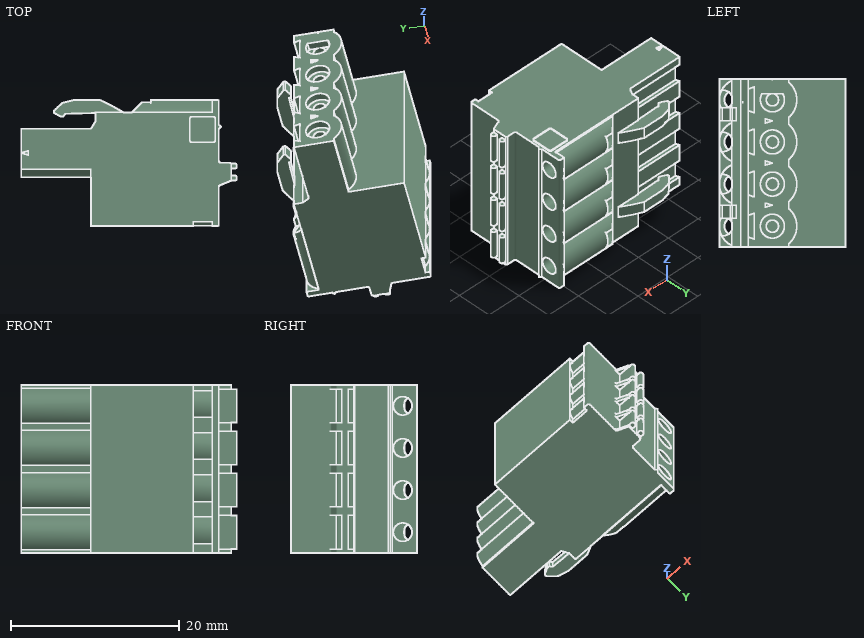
import cadquery as cq

POLE_COUNT = 4
PITCH = 5.0
HEIGHT = POLE_COUNT * PITCH
POLE_CENTERS = [PITCH * (i + 0.5) for i in range(POLE_COUNT)]

DEPTH = 15.0
BODY_FRONT = 8.28
BODY_BACK = 23.48
BODY_TOP = 13.5
SHOULDER_X = 8.8
SHOULDER_Y = 12.45
NECK_TOP = 11.58
NECK_FLAT = 6.75
FLANGE_FRONT = 22.69
FLANGE_RADIUS = 0.2

NECK_LOBE_TIP = 5.8
NECK_LOBE_HALF = 2.08
ENTRY_Y = 8.7
ENTRY_RADIUS = 1.43
ENTRY_DEPTH = 1.0
CORE_RADIUS = 0.73
TOP_ENTRY_LIMIT = 0.72
DOVETAIL_FLOOR = 10.86
DOVETAIL_FLOOR_HALF = 1.53
DOVETAIL_MOUTH_HALF = 1.28

LOBE_RADIUS = 2.5
LOBE_Y = DEPTH - LOBE_RADIUS
LOBE_START = 13.1
TOOL_SLOT_RADIUS = 1.15
TOOL_SLOT_Y = 14.58
TOOL_SLOT_END = 15.4
TEST_HOLE_RADIUS = 1.1
TEST_HOLE_Y = 13.28

RECESS_START = 20.42
RECESS_DEPTH = 0.53
RECESS_LOBE_HALF = 1.59
RECESS_LOBE_RISE = 0.5
RECESS_LOBE_OFFSET = 0.23

LATCH_WIDTH = 1.58
LATCH_CENTERS = [4.21, HEIGHT - 4.21]
LATCH_ROOT_X = 12.2
LATCH_UNDERSIDE = 13.42
LATCH_RAMP = [(10.35, 14.52), (9.35, DEPTH)]
LATCH_CREST_END = (6.3, DEPTH)
LATCH_NOSE_TOP = (4.89, 14.65)
LATCH_TIP_X = 3.87
LATCH_TIP_HIGH = 13.7
LATCH_TIP_LOW = 13.45
LATCH_HOOK_Y = 13.0
LATCH_HOOK_START = 4.7
LATCH_HOOK_END = 5.0
LATCH_HOOK_HEEL = (5.24, 13.33)

RIB_END = 24.97
RIB_TOP_ROOT = 7.56
RIB_TOP_KNEE_X = 24.75
RIB_BOTTOM_ROOT = 4.8
BLOCK_WIDTH = 4.0
BLOCK_BOTTOM = 5.4
BLOCK_TOP = 7.45
PRONG_END = 25.6
PRONG_THICKNESS = 0.63
PRONG_RADIUS = 0.25
RIB_ROOT_RADIUS = 0.2
RIB_TIP_RADIUS = 0.2
ROOT_SEARCH = 0.1
NUB_Y = 11.8
NUB_SIZE = 0.25

MARK_DEPTH = 0.1
ARROW_LENGTH = 0.83
ARROW_HALF = 0.25
LABEL_SIZE = 3.0
LABEL_X = 21.53
LABEL_Y = 11.48
LABEL_RADIUS = 0.2

OVERCUT = 1.0


def plate(points, z_low=0.0, z_high=HEIGHT):
    """Straight-sided XY outline extruded from z_low to z_high."""
    return cq.Workplane("XY").workplane(offset=z_low).polyline(points).close().extrude(z_high - z_low)


def cylinder_x(y, z, radius, x_start, x_end):
    """Cylinder running along X."""
    plane = cq.Workplane("YZ", origin=(x_start, y, z))
    return plane.circle(radius).extrude(x_end - x_start)


def box(x_range, y_range, z_range):
    """Box from (low, high) pairs."""
    size = [high - low for low, high in (x_range, y_range, z_range)]
    corner = (x_range[0], y_range[0], z_range[0])
    return cq.Workplane("XY").box(*size, centered=False).translate(corner)


def bulge(z, half, y_chord, y_tip, y_back, x_start, x_end):
    """Bar along X: an arc through y_tip on one side, a flat at y_back on the other."""
    outline = (
        cq.Workplane("YZ", origin=(x_start, 0, 0))
        .moveTo(y_back, z - half)
        .lineTo(y_chord, z - half)
        .threePointArc((y_tip, z), (y_chord, z + half))
        .lineTo(y_back, z + half)
        .close()
    )
    return outline.extrude(x_end - x_start)


def housing():
    shell = plate([
        (0, NECK_FLAT), (BODY_FRONT, NECK_FLAT), (BODY_FRONT, 0), (BODY_BACK, 0),
        (BODY_BACK, DEPTH), (FLANGE_FRONT, DEPTH), (FLANGE_FRONT, BODY_TOP),
        (SHOULDER_X, BODY_TOP), (SHOULDER_X, SHOULDER_Y), (BODY_FRONT, NECK_TOP), (0, NECK_TOP),
    ])
    back_corners = cq.selectors.BoxSelector(
        (BODY_BACK - FLANGE_RADIUS, -OVERCUT, 0), (BODY_BACK + OVERCUT, DEPTH + OVERCUT, HEIGHT)
    )
    return shell.edges("|Z").edges(back_corners).fillet(FLANGE_RADIUS)


def recess_side(body):
    cutter = box((RECESS_START, FLANGE_FRONT), (-OVERCUT, RECESS_DEPTH), (0, HEIGHT))
    body = body.cut(cutter)
    tip = RECESS_DEPTH - RECESS_LOBE_RISE
    back = RECESS_DEPTH + OVERCUT
    for z in POLE_CENTERS:
        center = z + RECESS_LOBE_OFFSET
        body = body.union(
            bulge(center, RECESS_LOBE_HALF, RECESS_DEPTH, tip, back, RECESS_START, FLANGE_FRONT)
        )
    return body


def neck_lobes(body):
    for z in POLE_CENTERS:
        body = body.union(bulge(z, NECK_LOBE_HALF, NECK_FLAT, NECK_LOBE_TIP, ENTRY_Y, 0, BODY_FRONT))
    return body


def wire_entries(body):
    for z in POLE_CENTERS:
        entry = cylinder_x(ENTRY_Y, z, ENTRY_RADIUS, 0, ENTRY_DEPTH)
        core = cylinder_x(ENTRY_Y, z, CORE_RADIUS, 0, BODY_FRONT)
        if z == POLE_CENTERS[-1]:
            flat = z + TOP_ENTRY_LIMIT
            roof = box((0, BODY_FRONT), (NECK_FLAT, NECK_TOP), (flat, HEIGHT))
            entry = entry.cut(roof)
            core = core.cut(roof)
        body = body.cut(entry).cut(core)
    return body


def dovetail_slots(body):
    for z in POLE_CENTERS:
        slot = (
            cq.Workplane("YZ")
            .moveTo(DOVETAIL_FLOOR, z - DOVETAIL_FLOOR_HALF)
            .lineTo(NECK_TOP, z - DOVETAIL_MOUTH_HALF)
            .lineTo(NECK_TOP, z + DOVETAIL_MOUTH_HALF)
            .lineTo(DOVETAIL_FLOOR, z + DOVETAIL_FLOOR_HALF)
            .close()
            .extrude(BODY_FRONT)
        )
        body = body.cut(slot)
    return body


def release_lobes(body):
    lobe_rise = DEPTH - BODY_TOP
    envelope = plate([
        (LOBE_START, BODY_TOP), (LOBE_START + lobe_rise, DEPTH),
        (FLANGE_FRONT, DEPTH), (FLANGE_FRONT, BODY_TOP),
    ])
    for z in POLE_CENTERS:
        lobe = cylinder_x(LOBE_Y, z, LOBE_RADIUS, LOBE_START, FLANGE_FRONT)
        body = body.union(lobe.intersect(envelope))
    for z in POLE_CENTERS:
        floor = cylinder_x(TOOL_SLOT_Y, z, TOOL_SLOT_RADIUS, LOBE_START, TOOL_SLOT_END)
        mouth = box(
            (LOBE_START, TOOL_SLOT_END),
            (TOOL_SLOT_Y, DEPTH + OVERCUT),
            (z - TOOL_SLOT_RADIUS, z + TOOL_SLOT_RADIUS),
        )
        test_hole = cylinder_x(TEST_HOLE_Y, z, TEST_HOLE_RADIUS, TOOL_SLOT_END, BODY_BACK)
        body = body.cut(floor).cut(mouth).cut(test_hole)
    return body


def latch_arm(z):
    arm = (
        cq.Workplane("XY", origin=(0, 0, z - LATCH_WIDTH / 2))
        .moveTo(LATCH_ROOT_X, BODY_TOP)
        .spline(LATCH_RAMP, includeCurrent=True)
        .lineTo(*LATCH_CREST_END)
        .lineTo(*LATCH_NOSE_TOP)
        .lineTo(LATCH_TIP_X, LATCH_TIP_HIGH)
        .lineTo(LATCH_TIP_X, LATCH_TIP_LOW)
        .lineTo(LATCH_HOOK_START, LATCH_HOOK_Y)
        .lineTo(LATCH_HOOK_END, LATCH_HOOK_Y)
        .lineTo(*LATCH_HOOK_HEEL)
        .lineTo(SHOULDER_X, LATCH_UNDERSIDE)
        .lineTo(LATCH_ROOT_X, LATCH_UNDERSIDE)
        .close()
    )
    return arm.extrude(LATCH_WIDTH)


def mating_end(body):
    ribs = plate([
        (BODY_BACK, RIB_BOTTOM_ROOT), (RIB_END, BLOCK_BOTTOM), (RIB_END, BLOCK_TOP),
        (RIB_TOP_KNEE_X, RIB_TOP_ROOT), (BODY_BACK, RIB_TOP_ROOT),
    ])
    lower_tip = cq.selectors.NearestToPointSelector((RIB_END, BLOCK_BOTTOM, HEIGHT / 2))
    body = body.union(ribs.edges("|Z").edges(lower_tip).fillet(RIB_TIP_RADIUS))
    roots = cq.selectors.BoxSelector(
        (BODY_BACK - ROOT_SEARCH, RIB_BOTTOM_ROOT - ROOT_SEARCH, 0),
        (BODY_BACK + ROOT_SEARCH, RIB_TOP_ROOT + ROOT_SEARCH, HEIGHT),
    )
    body = body.edges("|Z").edges(roots).fillet(RIB_ROOT_RADIUS)
    for z in POLE_CENTERS:
        z_range = (z - BLOCK_WIDTH / 2, z + BLOCK_WIDTH / 2)
        clearance = box((BODY_BACK, RIB_END), (RIB_BOTTOM_ROOT - OVERCUT, BLOCK_BOTTOM), z_range)
        block = box((BODY_BACK, RIB_END), (BLOCK_BOTTOM, BLOCK_TOP), z_range)
        body = body.cut(clearance).union(block)
        for y in (BLOCK_BOTTOM, BLOCK_TOP - PRONG_THICKNESS):
            prong = box((RIB_END, PRONG_END), (y, y + PRONG_THICKNESS), z_range)
            body = body.union(prong.edges("|Z and >X").fillet(PRONG_RADIUS))
    nub = plate([
        (BODY_BACK, NUB_Y - NUB_SIZE), (BODY_BACK + NUB_SIZE, NUB_Y), (BODY_BACK, NUB_Y + NUB_SIZE),
    ])
    return body.union(nub)


def marks(body):
    top_mark = plate(
        [(0, ENTRY_Y), (ARROW_LENGTH, ENTRY_Y + ARROW_HALF), (ARROW_LENGTH, ENTRY_Y - ARROW_HALF)],
        HEIGHT - MARK_DEPTH,
        HEIGHT,
    )
    body = body.cut(top_mark)
    for i in range(1, POLE_COUNT):
        z = PITCH * i
        arrow = [
            (ENTRY_Y, z), (ENTRY_Y + ARROW_LENGTH, z + ARROW_HALF), (ENTRY_Y + ARROW_LENGTH, z - ARROW_HALF),
        ]
        body = body.cut(cq.Workplane("YZ").polyline(arrow).close().extrude(MARK_DEPTH))
    label = (
        cq.Workplane("XY", origin=(LABEL_X, LABEL_Y, HEIGHT - MARK_DEPTH))
        .rect(LABEL_SIZE, LABEL_SIZE)
        .extrude(MARK_DEPTH)
        .edges("|Z")
        .fillet(LABEL_RADIUS)
    )
    return body.cut(label)


part = recess_side(housing())
part = neck_lobes(part)
part = wire_entries(part)
part = dovetail_slots(part)
part = release_lobes(part)
for latch_z in LATCH_CENTERS:
    part = part.union(latch_arm(latch_z))
part = mating_end(part)
result = marks(part)